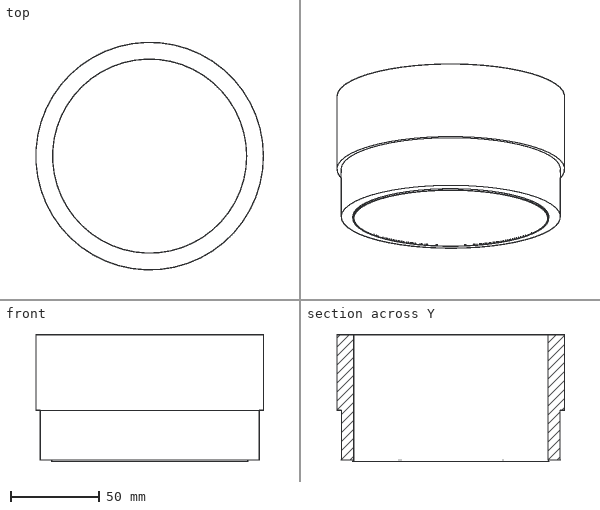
import cadquery as cq

total_height = 72.06
collar_diameter = 129.3
collar_height = 43.06
spigot_diameter = 124.5
bore_diameter = 110.0

lip_diameter = 111.4
lip_height = 0.8

spigot_height = total_height - collar_height - lip_height


def cylinder(diameter, height, base_z):
    """Solid cylinder on the Z axis, standing on base_z."""
    return cq.Workplane("XY").workplane(offset=base_z).circle(diameter / 2).extrude(height)


def ring_body():
    """Lip, spigot and collar stacked from the bottom up."""
    lip = cylinder(lip_diameter, lip_height, 0)
    spigot = cylinder(spigot_diameter, spigot_height, lip_height)
    collar = cylinder(collar_diameter, collar_height, lip_height + spigot_height)
    return lip.union(spigot).union(collar)


bore = cylinder(bore_diameter, total_height, 0)

result = ring_body().cut(bore)